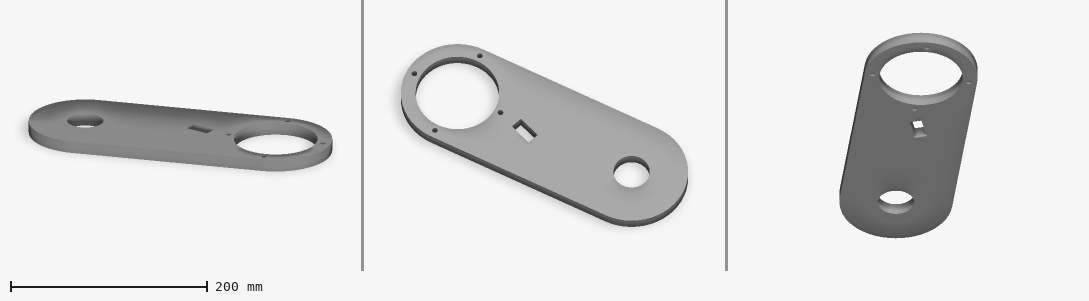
import cadquery as cq
import math

thickness = 12.7
overall_length = 303.0
end_radius = 57.5
tilt = 20.0
center_distance = (overall_length - 2 * end_radius) / math.cos(math.radians(tilt))

pivot_hole_diameter = 37.0
large_hole_diameter = 85.0
screw_hole_diameter = 5.8
screw_circle_radius = 49.5
screw_count = 4

window_length = 25.5
window_width = 12.7
window_x = 109.0
window_y = 47.5

large_end = (
    center_distance * math.cos(math.radians(tilt)),
    center_distance * math.sin(math.radians(tilt)),
)


def make_plate():
    """Round-ended plate running from the pivot to the large end."""
    return (
        cq.Workplane("XY")
        .center(large_end[0] / 2, large_end[1] / 2)
        .slot2D(center_distance + 2 * end_radius, 2 * end_radius, tilt)
        .extrude(thickness)
    )


def round_cutter(center, diameter):
    return cq.Workplane("XY").center(*center).circle(diameter / 2).extrude(thickness)


def window_cutter():
    return (
        cq.Workplane("XY")
        .center(window_x, window_y)
        .rect(window_length, window_width)
        .extrude(thickness)
    )


def screw_hole_centers():
    """Evenly spaced around the large hole, starting on the arm axis."""
    centers = []
    for index in range(screw_count):
        angle = math.radians(tilt + index * 360 / screw_count)
        x = large_end[0] + screw_circle_radius * math.cos(angle)
        y = large_end[1] + screw_circle_radius * math.sin(angle)
        centers.append((x, y))
    return centers


result = make_plate()
result = result.cut(round_cutter((0, 0), pivot_hole_diameter))
result = result.cut(round_cutter(large_end, large_hole_diameter))
for screw_center in screw_hole_centers():
    result = result.cut(round_cutter(screw_center, screw_hole_diameter))
result = result.cut(window_cutter())